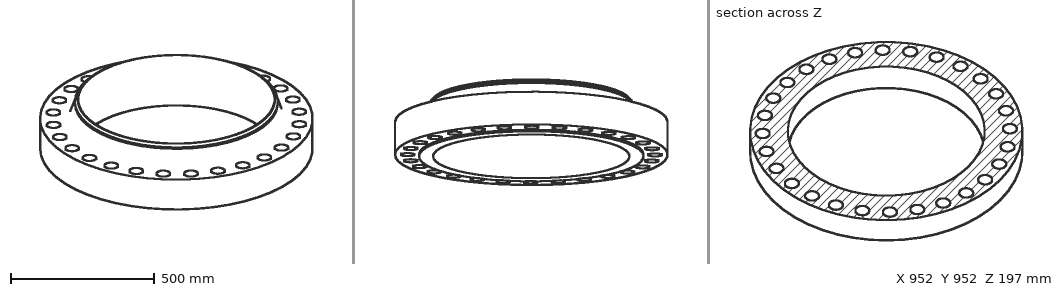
import cadquery as cq

flange_diameter = 952.0
flange_thickness = 117.0
raised_face_diameter = 785.0
raised_face_height = 6.0

total_height = 197.0
bore_diameter = 686.0
neck_diameter = 708.0
neck_base_diameter = 750.0
neck_fillet_radius = 7.0
straight_height = 6.0
bevel_height = 9.5
weld_land = 2.0

bolt_count = 28
bolt_circle_diameter = 864.0
bolt_hole_diameter = 48.0

flange_top = raised_face_height + flange_thickness
bevel_start = total_height - bevel_height
taper_end = bevel_start - straight_height


def make_flange_plate():
    """Raised sealing face with the bolting plate above it."""
    face = cq.Workplane("XY").circle(raised_face_diameter / 2).extrude(raised_face_height)
    plate = (
        cq.Workplane("XY")
        .workplane(offset=raised_face_height)
        .circle(flange_diameter / 2)
        .extrude(flange_thickness)
    )
    return face.union(plate)


def make_neck():
    """Tapered neck with a short straight end and a welding bevel, revolved about Z."""
    neck_radius = neck_diameter / 2
    land_radius = bore_diameter / 2 + weld_land
    return (
        cq.Workplane("XZ")
        .moveTo(0, raised_face_height)
        .lineTo(neck_base_diameter / 2, raised_face_height)
        .lineTo(neck_base_diameter / 2, flange_top)
        .lineTo(neck_radius, taper_end)
        .lineTo(neck_radius, bevel_start)
        .lineTo(land_radius, total_height)
        .lineTo(0, total_height)
        .close()
        .revolve(360, (0, 0, 0), (0, 1, 0))
    )


def blend_neck_root(body):
    """Fillet the inside corner where the neck meets the plate."""
    reach = neck_base_diameter / 2 + neck_fillet_radius
    margin = neck_fillet_radius / 2
    root_edge = cq.selectors.BoxSelector(
        (-reach, -reach, flange_top - margin),
        (reach, reach, flange_top + margin),
        boundingbox=True,
    )
    return body.edges(root_edge).fillet(neck_fillet_radius)


def make_bolt_holes():
    """Through holes on the bolt circle, the first one on the +X axis."""
    return (
        cq.Workplane("XY")
        .polarArray(bolt_circle_diameter / 2, 0, 360, bolt_count)
        .circle(bolt_hole_diameter / 2)
        .extrude(flange_top)
    )


bore = cq.Workplane("XY").circle(bore_diameter / 2).extrude(total_height)

body = blend_neck_root(make_flange_plate().union(make_neck()))
result = body.cut(bore).cut(make_bolt_holes())